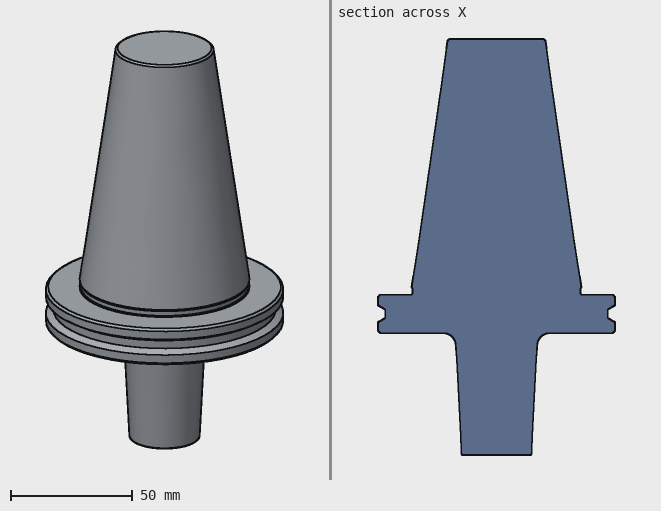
import cadquery as cq
import math

TAPER_LENGTH = 101.75
FLANGE_TOP = -3.2
FLANGE_BOTTOM = -19.1
NOSE_LENGTH = 50.0
NOSE_END = FLANGE_BOTTOM - NOSE_LENGTH

GAUGE_RADIUS = 69.85 / 2
RADIUS_SLOPE = 7 / 24 / 2
TIP_CHAMFER = 0.8
TIP_RADIUS = GAUGE_RADIUS - TAPER_LENGTH * RADIUS_SLOPE
TIP_FACE_RADIUS = TIP_RADIUS - TIP_CHAMFER
TIP_EDGE_RADIUS = TIP_RADIUS + TIP_CHAMFER * RADIUS_SLOPE

COLLAR_STEP = 0.36
COLLAR_RADIUS = GAUGE_RADIUS - COLLAR_STEP
COLLAR_TOP = -0.8
FOOT_HEIGHT = 0.5
FOOT_RADIUS = GAUGE_RADIUS

FLANGE_RADIUS = 97.5 / 2
FLANGE_CHAMFER = 1.0
FLANGE_FACE_RADIUS = FLANGE_RADIUS - FLANGE_CHAMFER
GROOVE_CENTER = -11.1
GROOVE_HALF_WIDTH = 3.45
GROOVE_DEPTH = 3.0
GROOVE_SIDE_ANGLE = math.radians(30)
GROOVE_FLOOR_RADIUS = FLANGE_RADIUS - GROOVE_DEPTH
GROOVE_FLOOR_HALF_WIDTH = GROOVE_HALF_WIDTH - GROOVE_DEPTH * math.tan(GROOVE_SIDE_ANGLE)

NOSE_TOP_RADIUS = 16.8
NOSE_END_RADIUS = 14.5
NOSE_BLEND = 5.0
NOSE_TOP = FLANGE_BOTTOM - NOSE_BLEND
NOSE_CHAMFER = 0.5


def add_taper(profile):
    """Shank outline from the axis at the tip down to the gauge circle."""
    return (
        profile.moveTo(0, TAPER_LENGTH)
        .lineTo(TIP_FACE_RADIUS, TAPER_LENGTH)
        .lineTo(TIP_EDGE_RADIUS, TAPER_LENGTH - TIP_CHAMFER)
        .lineTo(GAUGE_RADIUS, 0)
    )


def add_collar(profile):
    """Short cone and cylinder, flaring back to the gauge size where it meets the flange."""
    return (
        profile.lineTo(COLLAR_RADIUS, COLLAR_TOP)
        .lineTo(COLLAR_RADIUS, FLANGE_TOP + FOOT_HEIGHT)
        .lineTo(FOOT_RADIUS, FLANGE_TOP)
    )


def add_flange(profile):
    """Chamfered flange rim with the V-groove."""
    return (
        profile.lineTo(FLANGE_FACE_RADIUS, FLANGE_TOP)
        .lineTo(FLANGE_RADIUS, FLANGE_TOP - FLANGE_CHAMFER)
        .lineTo(FLANGE_RADIUS, GROOVE_CENTER + GROOVE_HALF_WIDTH)
        .lineTo(GROOVE_FLOOR_RADIUS, GROOVE_CENTER + GROOVE_FLOOR_HALF_WIDTH)
        .lineTo(GROOVE_FLOOR_RADIUS, GROOVE_CENTER - GROOVE_FLOOR_HALF_WIDTH)
        .lineTo(FLANGE_RADIUS, GROOVE_CENTER - GROOVE_HALF_WIDTH)
        .lineTo(FLANGE_RADIUS, FLANGE_BOTTOM + FLANGE_CHAMFER)
        .lineTo(FLANGE_FACE_RADIUS, FLANGE_BOTTOM)
    )


def add_nose(profile):
    """Blend arc, tapered nose and end chamfer, finishing on the axis."""
    return (
        profile.lineTo(NOSE_TOP_RADIUS + NOSE_BLEND, FLANGE_BOTTOM)
        .radiusArc((NOSE_TOP_RADIUS, NOSE_TOP), -NOSE_BLEND)
        .lineTo(NOSE_END_RADIUS, NOSE_END + NOSE_CHAMFER)
        .lineTo(NOSE_END_RADIUS - NOSE_CHAMFER, NOSE_END)
        .lineTo(0, NOSE_END)
    )


half_section = cq.Workplane("XZ")
for add_section in (add_taper, add_collar, add_flange, add_nose):
    half_section = add_section(half_section)

result = half_section.close().revolve(360, (0, 0, 0), (0, 1, 0))